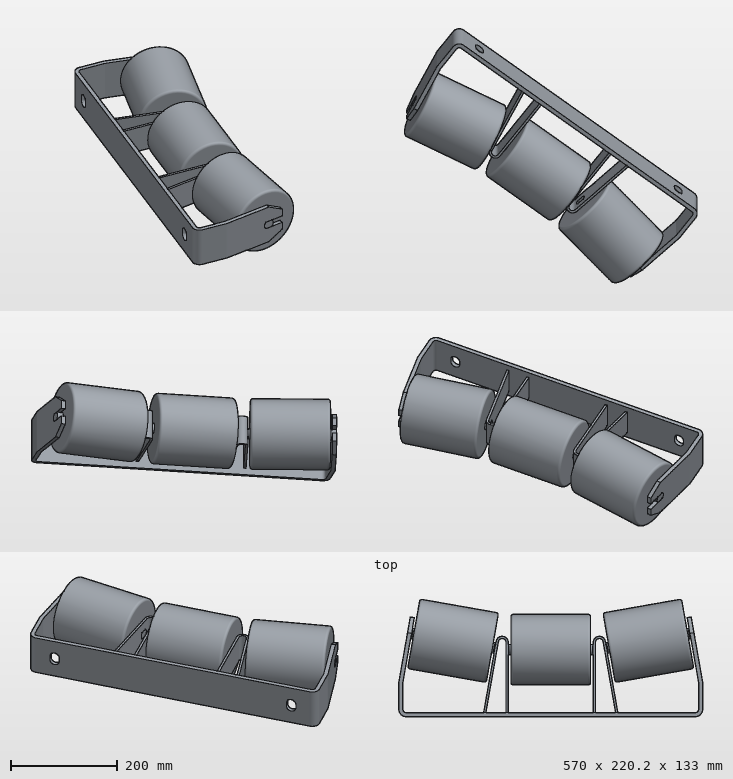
import cadquery as cq
import math

overall_width = 570.0
strap_height = 80.0
strap_thickness = 8.0
bend_outer_radius = 14.0
bend_inner_radius = bend_outer_radius - strap_thickness
wing_bend_y = 64.5

tip_length = 30.0
tip_taper_depth = 17.0

mounting_slot_spacing = 467.5
mounting_slot_width = 18.0
mounting_slot_height = 26.0

roller_diameter = 133.0
roller_length = 150.0
roller_rounding = 5.0
roller_tilt = 10.0
shaft_diameter = 20.0
shaft_flat_width = 15.0
shaft_flat_lead = 1.5
middle_roller_y = 126.0
side_roller_x = -183.0
side_roller_y = 142.5

hairpin_height = 55.0
hairpin_thickness = 4.5
hairpin_top_y = 151.0
hairpin_roller_gap = 4.5

tilt = math.radians(roller_tilt)
outward = cq.Vector(-math.cos(tilt), math.sin(tilt), 0)
up_wing = cq.Vector(math.sin(tilt), math.cos(tilt), 0)
side_roller_center = cq.Vector(side_roller_x, side_roller_y, 0)

wing_bend = cq.Vector(-overall_width / 2, wing_bend_y, 0)
wing_face_distance = (wing_bend - side_roller_center).dot(outward)
wing_shaft_point = side_roller_center + outward * wing_face_distance
wing_face = cq.Plane(origin=wing_shaft_point, xDir=up_wing, normal=outward)

hairpin_face_distance = roller_length / 2 + hairpin_roller_gap
hairpin_shaft_point = side_roller_center - outward * hairpin_face_distance
hairpin_face = cq.Plane(origin=hairpin_shaft_point, xDir=up_wing, normal=outward)


def upright_prism(points):
    """Extrude an outline in the XY plane to the strap height, centred on Z = 0."""
    outline = [(point.x, point.y) for point in points]
    return cq.Workplane("XY").polyline(outline).close().extrude(strap_height / 2, both=True)


def round_upright_edge(body, point, radius):
    """Fillet the upright edge that passes through a point."""
    return body.edges(cq.NearestToPointSelector((point.x, point.y, 0))).fillet(radius)


def mirrored_pair(body):
    """Return the solid of a body on the left and its mirror image on the right."""
    left = body.solids().val()
    return [left, left.mirror("YZ")]


def make_half_strap():
    """Left half of the strap, from the centre plane to the wing tip."""
    inner_bend_shift = strap_thickness * math.tan(tilt / 2)
    outer_corner = cq.Vector(-overall_width / 2, 0, 0)
    inner_corner = outer_corner + cq.Vector(strap_thickness, strap_thickness, 0)
    inner_bend = wing_bend + cq.Vector(strap_thickness, -inner_bend_shift, 0)
    outer_tip = wing_shaft_point + up_wing * tip_length
    inner_tip = outer_tip - outward * strap_thickness
    strap = upright_prism([
        cq.Vector(0, 0, 0), outer_corner, wing_bend, outer_tip,
        inner_tip, inner_bend, inner_corner, cq.Vector(0, strap_thickness, 0),
    ])
    strap = round_upright_edge(strap, outer_corner, bend_outer_radius)
    strap = round_upright_edge(strap, inner_corner, bend_inner_radius)
    strap = round_upright_edge(strap, wing_bend, bend_outer_radius)
    strap = round_upright_edge(strap, inner_bend, bend_inner_radius)
    return strap.cut(make_tip_cutter()).cut(make_mounting_slot())


def make_tip_cutter():
    """Tapered corners and shaft slot, cut through the wing along the roller axis."""
    half_height = strap_height / 2
    cutter = shaft_end(wing_face, -strap_thickness)
    slot = cq.Workplane(wing_face).center(tip_length / 2, 0).rect(tip_length, shaft_flat_width)
    cutter = cutter.union(slot.extrude(-strap_thickness))
    for side in (-1, 1):
        corner = cq.Workplane(wing_face).polyline([
            (0, side * half_height),
            (tip_length, side * half_height),
            (tip_length, side * (half_height - tip_taper_depth)),
        ]).close().extrude(-strap_thickness)
        cutter = cutter.union(corner)
    return cutter


def make_mounting_slot():
    """Cutter for the left upright mounting slot."""
    return (
        cq.Workplane("XZ")
        .center(-mounting_slot_spacing / 2, 0)
        .slot2D(mounting_slot_height, mounting_slot_width, 90)
        .extrude(-strap_thickness)
    )


def shaft_end(plane, length):
    """Round shaft end with two flats, extruded along the normal of the plane."""
    bar = cq.Workplane(plane).circle(shaft_diameter / 2).extrude(length)
    flats = cq.Workplane(plane).rect(shaft_diameter, shaft_flat_width).extrude(length)
    return bar.intersect(flats)


def make_hairpin():
    """Left hairpin bracket: an upright leg and a tilted leg joined by a round top."""
    upright_face_x = -hairpin_face_distance

    top_run = (hairpin_top_y - hairpin_shaft_point.y) * math.tan(tilt)
    width_at_top = upright_face_x - (hairpin_shaft_point.x + top_run)
    radius = width_at_top / (1 + 1 / math.cos(tilt) - math.tan(tilt))
    inner_radius = radius - hairpin_thickness
    center = cq.Vector(upright_face_x - radius, hairpin_top_y - radius, 0)

    base_y = strap_thickness
    tilted_leg_run = (center.y - base_y) * math.tan(tilt)

    def leg_profile(arc_radius):
        base_left = center.x - arc_radius / math.cos(tilt) - tilted_leg_run
        tilted_tangent = center + outward * arc_radius
        top = center + cq.Vector(0, arc_radius, 0)
        return (
            cq.Workplane("XY")
            .moveTo(base_left, base_y)
            .lineTo(tilted_tangent.x, tilted_tangent.y)
            .threePointArc((top.x, top.y), (center.x + arc_radius, center.y))
            .lineTo(center.x + arc_radius, base_y)
            .close()
            .extrude(hairpin_height / 2, both=True)
        )

    hairpin = leg_profile(radius).cut(leg_profile(inner_radius))
    return hairpin.cut(shaft_end(hairpin_face, -hairpin_thickness))


def cut_shaft_flats(roller, shaft_tip, axis, length):
    """Cut two flats, facing up and down, on the last stretch of a shaft before its tip."""
    offset = (shaft_flat_width + shaft_diameter) / 2
    tip_face = cq.Plane(origin=shaft_tip, xDir=cq.Vector(0, 0, 1), normal=axis)
    flats = (
        cq.Workplane(tip_face)
        .pushPoints([(-offset, 0), (offset, 0)])
        .rect(shaft_diameter, 2 * shaft_diameter)
        .extrude(-length)
    )
    return roller.cut(flats)


def make_roller(center, axis, ends):
    """Rounded drum on a shaft with flatted ends.

    Each end is (side, reach, seat): the direction along the axis, the distance of
    the shaft tip from the drum centre, and the thickness of the bracket it sits in.
    """
    drum_start = cq.Plane(center - axis * (roller_length / 2), cq.Vector(0, 0, 1), axis)
    roller = (
        cq.Workplane(drum_start)
        .circle(roller_diameter / 2)
        .extrude(roller_length)
        .edges()
        .fillet(roller_rounding)
    )
    middle = cq.Plane(center, cq.Vector(0, 0, 1), axis)
    for side, reach, seat in ends:
        shaft = cq.Workplane(middle).circle(shaft_diameter / 2).extrude(side * reach)
        roller = roller.union(shaft)
        shaft_tip = center + axis * (side * reach)
        roller = cut_shaft_flats(roller, shaft_tip, axis * side, seat + shaft_flat_lead)
    return roller


def make_side_roller():
    """Left roller, seated in the wing at its outer end and in the hairpin at its inner end."""
    return make_roller(side_roller_center, outward, [
        (1, wing_face_distance, strap_thickness),
        (-1, hairpin_face_distance + hairpin_thickness, hairpin_thickness),
    ])


def make_middle_roller():
    """Middle roller, seated in the upright legs of both hairpins."""
    reach = hairpin_face_distance + hairpin_thickness
    return make_roller(cq.Vector(0, middle_roller_y, 0), cq.Vector(1, 0, 0), [
        (side, reach, hairpin_thickness) for side in (-1, 1)
    ])


def make_frame():
    """Strap, hairpins and middle roller, joined as one solid."""
    frame = make_middle_roller()
    for part in mirrored_pair(make_hairpin()) + mirrored_pair(make_half_strap()):
        frame = frame.union(cq.Workplane(part))
    return frame


frame = make_frame()
side_rollers = mirrored_pair(make_side_roller())

result = cq.Compound.makeCompound([frame.solids().val(), *side_rollers])